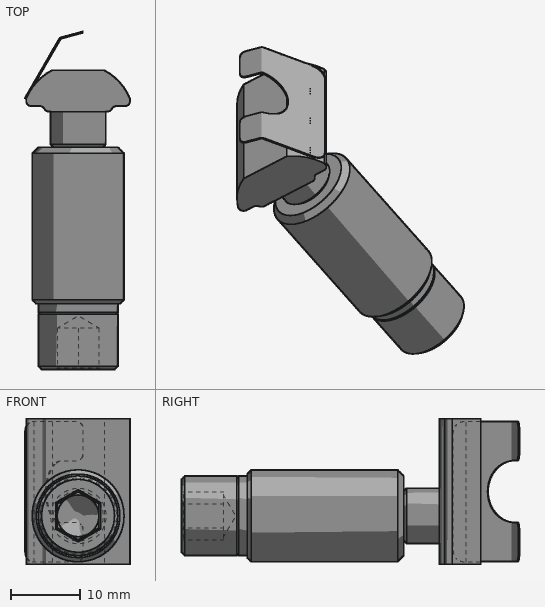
import cadquery as cq
import math


nut_length = 21.0
nut_center_z = 3.5
nut_half_width = 7.5
nut_height = 6.0
nut_back_half_width = 3.75
nut_flank_start_y = 1.85
nut_shoulder_y = 0.8
nut_front_half_width = 4.2
nut_edge_radius = 0.75

spring_thickness = 0.2
spring_width = 20.2
leg_angle = 60.0
tab_angle = 15.0
spring_top_y = 11.56
bend_y = 10.68
bend_inner_radius = 0.35
base_corner_radius = 1.8
tab_corner_radius = 1.0
notch_radius = 4.45
notch_past_bend = 0.25

neck_diameter = 8.0
neck_length = 5.1
neck_chamfer = 0.4
thread_diameter = 13.25
thread_length = 22.6
thread_back_chamfer = 0.9
thread_front_chamfer = 0.6
collar_length = 1.45
collar_chamfer = 0.25
head_diameter = 11.5
head_length = 8.0
head_chamfer = 0.5

socket_across_flats = 6.0
socket_mouth_chamfer = 0.25
socket_depth = 6.0
socket_point_angle = 118.0


def sheet_point(start, angle, distance):
    """Point reached from start by going a distance along an angle in the XY plane."""
    a = math.radians(angle)
    return (start[0] + distance * math.cos(a), start[1] + distance * math.sin(a))


def flank_middle():
    """Middle of the flank arc, whose centre lies on the mid-plane of the nut."""
    center_y = (
        nut_height**2 + nut_back_half_width**2 - nut_flank_start_y**2 - nut_half_width**2
    ) / (2 * (nut_height - nut_flank_start_y))
    radius = math.hypot(nut_half_width, nut_flank_start_y - center_y)
    start = math.atan2(nut_flank_start_y - center_y, nut_half_width)
    end = math.atan2(nut_height - center_y, nut_back_half_width)
    middle = (start + end) / 2
    return (radius * math.cos(middle), center_y + radius * math.sin(middle))


def make_nut():
    """Mirrored half profile, swept along Z."""
    step_turn = math.acos(1 - nut_shoulder_y / (2 * nut_edge_radius))
    step_half_run = nut_edge_radius * math.sin(step_turn)
    step_middle_x = nut_front_half_width + step_half_run
    shoulder_x = step_middle_x + step_half_run

    half_profile = (
        cq.Workplane("XY", origin=(0, 0, nut_center_z - nut_length / 2))
        .lineTo(nut_front_half_width, 0)
        .tangentArcPoint((step_middle_x, nut_shoulder_y / 2), relative=False)
        .tangentArcPoint((shoulder_x, nut_shoulder_y), relative=False)
        .lineTo(nut_half_width - nut_edge_radius, nut_shoulder_y)
        .tangentArcPoint((nut_half_width, nut_shoulder_y + nut_edge_radius), relative=False)
        .lineTo(nut_half_width, nut_flank_start_y)
        .threePointArc(flank_middle(), (nut_back_half_width, nut_height))
        .lineTo(0, nut_height)
        .close()
    )
    half = half_profile.extrude(nut_length)
    return half.union(half.mirror("YZ"))


def make_spring():
    """Bent sheet with a leg on the nut flank and two tabs either side of a notch."""
    base_inner = (-nut_half_width, nut_flank_start_y)
    base_outer = sheet_point(base_inner, leg_angle + 90, spring_thickness)
    leg_length = (bend_y - base_outer[1]) / math.sin(math.radians(leg_angle))
    bend = sheet_point(base_outer, leg_angle, leg_length)
    tab_length = (spring_top_y - bend_y) / math.sin(math.radians(tab_angle))
    tip = sheet_point(bend, tab_angle, tab_length)

    tip_inner = sheet_point(tip, tab_angle - 90, spring_thickness)
    bend_offset = spring_thickness / math.cos(math.radians((leg_angle - tab_angle) / 2))
    bend_inner = sheet_point(bend, (leg_angle + tab_angle) / 2 - 90, bend_offset)

    sheet = (
        cq.Workplane("XY", origin=(0, 0, nut_center_z - spring_width / 2))
        .polyline([base_outer, bend, tip, tip_inner, bend_inner, base_inner])
        .close()
        .extrude(spring_width)
    )
    bend_faces = ((bend, bend_inner_radius + spring_thickness), (bend_inner, bend_inner_radius))
    for corner, radius in bend_faces:
        nearest = cq.selectors.NearestToPointSelector((*corner, nut_center_z))
        sheet = sheet.edges("|Z").edges(nearest).fillet(radius)

    notch_center = sheet_point(bend, leg_angle, notch_past_bend)
    notch_plane = cq.Plane(
        origin=(*notch_center, nut_center_z),
        xDir=(*sheet_point((0, 0), leg_angle, 1), 0),
        normal=(*sheet_point((0, 0), leg_angle + 90, 1), 0),
    )
    notch = (
        cq.Workplane(notch_plane)
        .moveTo(tab_length, -notch_radius)
        .lineTo(0, -notch_radius)
        .threePointArc((-notch_radius, 0), (0, notch_radius))
        .lineTo(tab_length, notch_radius)
        .close()
        .extrude(tab_length, both=True)
    )
    spring = sheet.cut(notch)
    spring = spring.faces("<Y").edges("#Z").fillet(base_corner_radius)
    return spring.faces(">X").edges("#Z").fillet(tab_corner_radius)


def make_socket(face_y):
    """Hexagon socket with a chamfered mouth and a drill-point bottom."""
    across_corners = socket_across_flats / math.cos(math.pi / 6)
    mouth_corners = (socket_across_flats + 2 * socket_mouth_chamfer) / math.cos(math.pi / 6)
    point_radius = socket_across_flats / 2
    point_depth = point_radius / math.tan(math.radians(socket_point_angle / 2))

    face = cq.Workplane(cq.Plane(origin=(0, face_y, 0), xDir=(0, 0, 1), normal=(0, 1, 0)))
    hexagon = face.polygon(6, across_corners).extrude(socket_depth)
    mouth = face.polygon(6, mouth_corners).extrude(socket_mouth_chamfer, taper=45)
    point = cq.Workplane(
        cq.Solid.makeCone(
            point_radius, 0, point_depth, cq.Vector(0, face_y + socket_depth, 0), cq.Vector(0, 1, 0)
        )
    )
    return hexagon.union(mouth).union(point)


def make_screw():
    """Turned screw with neck, threaded section, grooved collar and socket head."""
    neck_r = neck_diameter / 2
    thread_r = thread_diameter / 2
    head_r = head_diameter / 2
    thread_start = -neck_length
    collar_start = thread_start - thread_length
    head_start = collar_start - collar_length
    head_end = head_start - head_length

    outline = [
        (0, 0),
        (neck_r, 0),
        (neck_r, thread_start + neck_chamfer),
        (neck_r - neck_chamfer, thread_start),
        (thread_r - thread_back_chamfer, thread_start),
        (thread_r, thread_start - thread_back_chamfer),
        (thread_r, collar_start + thread_front_chamfer),
        (thread_r - thread_front_chamfer, collar_start),
        (head_r, collar_start),
        (head_r, head_start + collar_chamfer),
        (head_r - collar_chamfer, head_start),
        (head_r, head_start),
        (head_r, head_end + head_chamfer),
        (head_r - head_chamfer, head_end),
        (0, head_end),
    ]
    body = cq.Workplane("XY").polyline(outline).close().revolve(360, (0, 0, 0), (0, 1, 0))
    return body.cut(make_socket(head_end))


spring_nut = make_nut().union(make_spring())
screw = make_screw()

result = cq.Compound.makeCompound([spring_nut.val(), screw.val()])